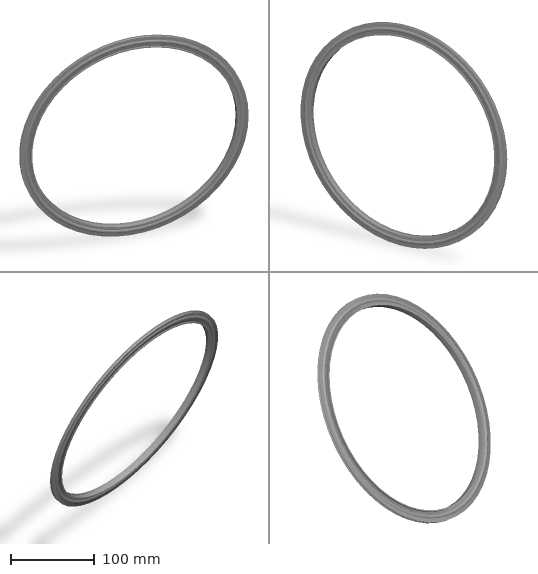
import cadquery as cq
import math

lip_width = 8.0
web_width = 4.0
outer_ring_width = web_width
rim_groove_width = 2.5

bore_diameter = 257.5
lip_diameter = 260.5
web_diameter = 267.7
outer_ring_bore = 276.9
outer_diameter = 286.5

seal_center = (web_diameter + outer_ring_bore) / 4
seat_half_width = web_width / 2
seal_radius = math.hypot(seat_half_width, (outer_ring_bore - web_diameter) / 4)

rim_groove_depth = 1.5


def revolve_about_x(profile):
    """Revolve a section, drawn as (x, radius), fully around the X axis."""
    return profile.close().revolve(360, (0, 0, 0), (1, 0, 0))


def make_inner_ring():
    """Wide lip at the bore, with a narrower web that carries the seal in a hollow seat."""
    half_lip = lip_width / 2
    bore_radius = bore_diameter / 2
    lip_radius = lip_diameter / 2
    web_radius = web_diameter / 2
    return revolve_about_x(
        cq.Workplane("XY")
        .moveTo(-half_lip, bore_radius)
        .lineTo(half_lip, bore_radius)
        .lineTo(half_lip, lip_radius)
        .lineTo(seat_half_width, lip_radius)
        .lineTo(seat_half_width, web_radius)
        .threePointArc((0, seal_center - seal_radius), (-seat_half_width, web_radius))
        .lineTo(-seat_half_width, lip_radius)
        .lineTo(-half_lip, lip_radius)
    )


def make_seal():
    """Round-section seal held between the inner and outer rings."""
    return cq.Workplane(
        cq.Solid.makeTorus(seal_center, seal_radius, cq.Vector(0, 0, 0), cq.Vector(1, 0, 0))
    )


def make_outer_ring():
    """Retaining ring with a hollow seat in its bore and a rounded groove in its rim."""
    half_width = outer_ring_width / 2
    half_groove = rim_groove_width / 2
    bore_radius = outer_ring_bore / 2
    rim_radius = outer_diameter / 2
    return revolve_about_x(
        cq.Workplane("XY")
        .moveTo(-half_width, bore_radius)
        .threePointArc((0, seal_center + seal_radius), (half_width, bore_radius))
        .lineTo(half_width, rim_radius)
        .lineTo(half_groove, rim_radius)
        .threePointArc((0, rim_radius - rim_groove_depth), (-half_groove, rim_radius))
        .lineTo(-half_width, rim_radius)
    )


inner_ring = make_inner_ring()
seal = make_seal()
outer_ring = make_outer_ring()

result = cq.Compound.makeCompound([inner_ring.val(), seal.val(), outer_ring.val()])